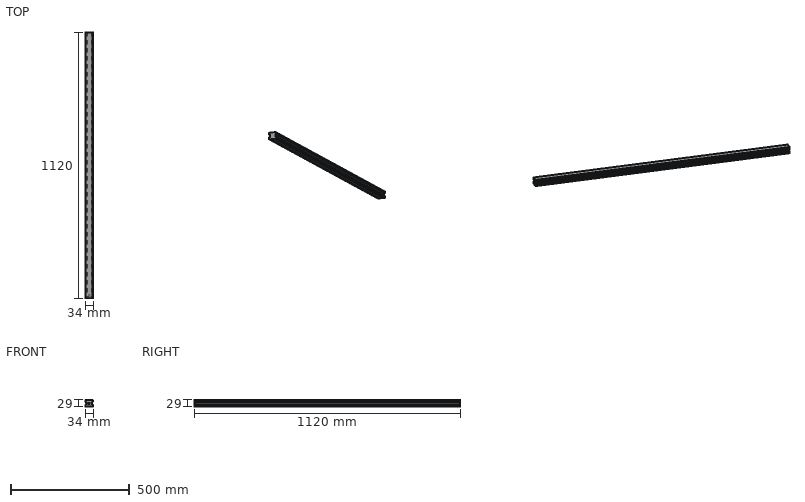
import cadquery as cq
import math

LENGTH = 1120.0
WIDTH = 34.0
HEIGHT = 29.0

BASE_CHAMFER = 1.5
BASE_SIDE_TOP = 6.9
BASE_SHOULDER_HALF_WIDTH = 16.2
BASE_RELIEF_HALF_WIDTH = 8.5
BASE_RELIEF_DEPTH = 0.1

WEB_HALF_WIDTH = 11.7
WEB_BOTTOM = 11.6
WEB_TOP = 15.1

WEB_FILLET_RADIUS = 5.0
WEB_FILLET_ANGLE = math.radians(45)
WEB_FILLET_RISE = WEB_FILLET_RADIUS * math.sin(WEB_FILLET_ANGLE)
WEB_FILLET_RUN = WEB_FILLET_RADIUS * (1 - math.cos(WEB_FILLET_ANGLE))

TOP_HALF_WIDTH = 13.2
TOP_CHAMFER = 0.6
HEAD_SIDE_TOP = 25.8
HEAD_SIDE_BOTTOM = 22.5
LOWER_GROOVE_INNER_HALF_WIDTH = 14.4
LOWER_GROOVE_BOTTOM = 20.0
GROOVE_DEPTH = 0.6

END_HOLE_DIAMETER = 6.6
END_HOLE_DEPTH = 15.0
END_HOLE_OFFSET = -0.3
END_HOLE_HEIGHT = HEIGHT / 2


def half_section():
    """Right half of the rail section, drawn from the bottom face up to the top face."""
    half_width = WIDTH / 2
    fillet_end = (WEB_HALF_WIDTH + WEB_FILLET_RUN, WEB_TOP + WEB_FILLET_RISE)
    return (
        cq.Workplane("XZ", origin=(0, LENGTH / 2, 0))
        .moveTo(0, BASE_RELIEF_DEPTH)
        .lineTo(BASE_RELIEF_HALF_WIDTH, BASE_RELIEF_DEPTH)
        .lineTo(BASE_RELIEF_HALF_WIDTH, 0)
        .lineTo(half_width - BASE_CHAMFER, 0)
        .lineTo(half_width, BASE_CHAMFER)
        .lineTo(half_width, BASE_SIDE_TOP)
        .lineTo(BASE_SHOULDER_HALF_WIDTH, BASE_SIDE_TOP)
        .lineTo(WEB_HALF_WIDTH, WEB_BOTTOM)
        .lineTo(WEB_HALF_WIDTH, WEB_TOP)
        .tangentArcPoint(fillet_end, relative=False)
        .lineTo(LOWER_GROOVE_INNER_HALF_WIDTH, LOWER_GROOVE_BOTTOM)
        .sagittaArc((half_width, HEAD_SIDE_BOTTOM), GROOVE_DEPTH)
        .lineTo(half_width, HEAD_SIDE_TOP)
        .sagittaArc((TOP_HALF_WIDTH + TOP_CHAMFER, HEIGHT - TOP_CHAMFER), GROOVE_DEPTH)
        .lineTo(TOP_HALF_WIDTH, HEIGHT)
        .lineTo(0, HEIGHT)
        .close()
    )


def rail_body():
    """Half section extruded along Y and joined to its mirror image."""
    half = half_section().extrude(LENGTH)
    return half.union(half.mirror("YZ")).clean()


def end_hole():
    """Blind hole along Y, opening on the front end face."""
    start = (END_HOLE_OFFSET, -LENGTH / 2, END_HOLE_HEIGHT)
    return cq.Workplane("XZ", origin=start).circle(END_HOLE_DIAMETER / 2).extrude(-END_HOLE_DEPTH)


result = rail_body().cut(end_hole())